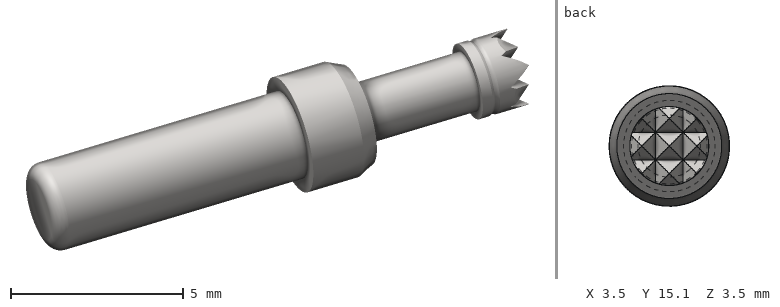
import cadquery as cq
import math

total_length = 15.1
tail_length = 7.9
collar_length = 2.1
head_length = 1.6
collar_back = tail_length
collar_front = collar_back + collar_length
head_back = total_length - head_length

tail_radius = 1.33
collar_radius = 1.75
shaft_radius = 0.9
head_radius = 1.15

tail_fillet = 0.4
collar_bevel_length = 0.5
collar_bevel_depth = 0.23

groove_back = head_back + 0.32
groove_cone_length = 0.09
groove_arc_length = 0.14
groove_depth = 0.05
groove_bottom = groove_back + groove_cone_length
groove_front = groove_bottom + groove_arc_length

tooth_pitch = 0.8
teeth_per_row = 3
tooth_angle = 60.0
tooth_depth = tooth_pitch / 2 / math.tan(math.radians(tooth_angle / 2))


def turned_body():
    """Half profile (radius, Y) revolved about the Y axis."""
    groove_radius = head_radius - groove_depth
    groove_arc_angle = 2 * math.atan(groove_depth / groove_arc_length)
    groove_arc_radius = groove_arc_length / math.sin(groove_arc_angle)
    groove_arc_middle = (
        groove_radius + groove_arc_radius * (1 - math.cos(groove_arc_angle / 2)),
        groove_bottom + groove_arc_radius * math.sin(groove_arc_angle / 2),
    )
    fillet_middle = tail_fillet * (1 - math.sqrt(0.5))
    return (
        cq.Workplane("XY")
        .moveTo(0, 0)
        .lineTo(tail_radius - tail_fillet, 0)
        .threePointArc((tail_radius - fillet_middle, fillet_middle), (tail_radius, tail_fillet))
        .lineTo(tail_radius, collar_back)
        .lineTo(collar_radius, collar_back)
        .lineTo(collar_radius, collar_front - collar_bevel_length)
        .lineTo(collar_radius - collar_bevel_depth, collar_front)
        .lineTo(shaft_radius, collar_front)
        .lineTo(shaft_radius, head_back)
        .lineTo(head_radius, head_back)
        .lineTo(head_radius, groove_back)
        .lineTo(groove_radius, groove_bottom)
        .threePointArc(groove_arc_middle, (head_radius, groove_front))
        .lineTo(head_radius, total_length)
        .lineTo(0, total_length)
        .close()
        .revolve(360, (0, 0, 0), (0, 1, 0))
    )


def vee_cutter(offset):
    """V groove running along Z, its root at X = offset, open at the tip plane."""
    return (
        cq.Workplane("XY")
        .moveTo(offset - tooth_pitch / 2, total_length)
        .lineTo(offset, total_length - tooth_depth)
        .lineTo(offset + tooth_pitch / 2, total_length)
        .close()
        .extrude(2 * head_radius, both=True)
    )


def cut_teeth(body):
    """Cut crossing rows of V grooves into the tip, on both sides of every tooth."""
    for groove in range(teeth_per_row + 1):
        vee = vee_cutter((groove - teeth_per_row / 2) * tooth_pitch)
        crossing_vee = vee.rotate((0, 0, 0), (0, 1, 0), 90)
        body = body.cut(vee).cut(crossing_vee)
    return body


result = cut_teeth(turned_body())